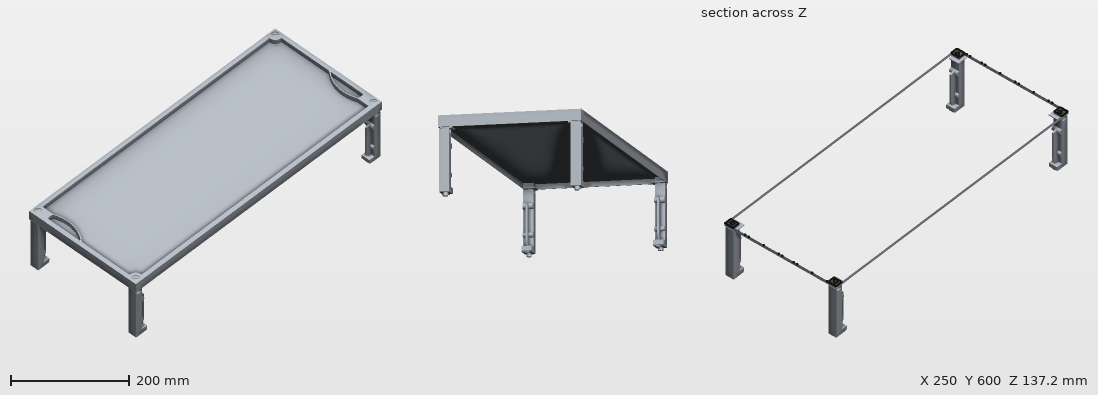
import cadquery as cq
import math

tray_x = 250.0
tray_y = 600.0
tray_height = 20.0
rim_width = 9.0
recess_depth = 9.5
side_skirt_wall = 1.2
end_skirt_wall = 2.0
cavity_ceiling_z = -11.0

corner_block = 23.0
corner_radius = 12.0
dowel_hole_diameter = 2.5
dowel_hole_inset_x = 23.5
dowel_hole_inset_y = 21.5
dowel_hole_depth = 1.0

handle_start = 34.0
handle_end = 110.0
handle_crest_x = 64.0
handle_crest_y = 29.0
handle_radius = 75.0
rib_thickness = 2.0
handle_corner_radius = 3.0
grip_groove_count = 10
grip_groove_pitch_angle = 4.7
grip_groove_radius = 1.5
grip_groove_depth = 0.8

total_height = 137.23
pin_height = 6.0
pin_diameter = 9.0
pin_inset_y = 11.8
leg_outer_x = side_skirt_wall
leg_outer_y = end_skirt_wall
leg_width_x = 18.0
leg_centre_x = leg_outer_x + leg_width_x / 2
leg_depth_y = 14.5
leg_inner_y = leg_outer_y + leg_depth_y
leg_bottom_z = pin_height - total_height
flange_near = 3.0
flange_far = 24.0
flange_thickness = 1.8
neck_chamfer = 1.5
window_wall = 1.8
window_bottom_z = -29.0
window_corner = 1.8
upper_bump_radius = 5.4
upper_bump_z = -50.6
lower_bump_radius = 4.5
lower_bump_z = -100.3

web_thickness = 3.4
web_end_y = 29.0
web_top_z = -50.0
web_root_z = -46.0
web_curve_z = -106.0
web_curve_mid_y = 28.0
web_tip_y = 24.5
web_bottom_z = -120.3
foot_top_z = -121.3
foot_chamfer = 2.0
heel_near_y = 21.5
heel_far_y = 27.0
heel_height = 1.5
heel_width = 8.0

head_diameter = 14.0
screw_inset_x = leg_centre_x
screw_inset_y = 10.5
head_edge_depth = 1.2
head_dome_height = 0.9
head_bottom_z = -5.0
shank_diameter = 6.0
shank_bottom_z = -20.0
slot_length = 9.8
slot_width = 1.0
slot_depth = 1.0

corner_signs = [(-1, -1), (1, -1), (-1, 1), (1, 1)]
half_turn_angles = [0, 180]


def box_between(x0, x1, y0, y1, z0, z1):
    """Axis-aligned box given by its limits."""
    return cq.Workplane("XY").box(x1 - x0, y1 - y0, z1 - z0, centered=False).translate((x0, y0, z0))


def place_at_corner(body, sign_x, sign_y):
    """Move a body built outward from a corner at the origin to one tray corner."""
    if sign_x > 0:
        body = body.mirror("YZ")
    if sign_y > 0:
        body = body.mirror("XZ")
    return body.translate((sign_x * tray_x / 2, sign_y * tray_y / 2, 0))


def upright_cylinder(diameter, x, y, z0, z1):
    return cq.Workplane("XY", origin=(x, y, z0)).circle(diameter / 2).extrude(z1 - z0)


def make_handle_segment(radius):
    """Circular segment that rises from the end rim over the handle length."""
    centre_y = handle_crest_y - handle_radius
    disc = upright_cylinder(2 * radius, handle_crest_x, centre_y, -recess_depth, 0)
    limits = box_between(
        handle_start, handle_crest_x + radius, rim_width, handle_crest_y, -recess_depth, 0
    )
    return disc.intersect(limits)


def make_grip_grooves():
    """Upright grooves in the pocket face of the rib, spread evenly about its crest."""
    centre_y = handle_crest_y - handle_radius
    path_radius = handle_radius - rib_thickness + grip_groove_depth - grip_groove_radius
    first_angle = -grip_groove_pitch_angle * (grip_groove_count - 1) / 2
    grooves = cq.Workplane("XY")
    for index in range(grip_groove_count):
        angle = math.radians(first_angle + index * grip_groove_pitch_angle)
        x = handle_crest_x + path_radius * math.sin(angle)
        y = centre_y + path_radius * math.cos(angle)
        grooves = grooves.union(upright_cylinder(2 * grip_groove_radius, x, y, -recess_depth, 0))
    return grooves


def make_handle():
    """Corner block and curved rib with grip grooves, enclosing a finger pocket."""
    block = box_between(rim_width, handle_start, rim_width, corner_block, -recess_depth, 0)
    pocket_limits = box_between(handle_start, handle_end, rim_width, handle_crest_y, -recess_depth, 0)
    pocket = make_handle_segment(handle_radius - rib_thickness).intersect(pocket_limits)
    pocket = pocket.edges(cq.NearestToPointSelector((handle_start, rim_width, -recess_depth / 2))).fillet(
        handle_corner_radius
    )
    return block.union(make_handle_segment(handle_radius)).cut(pocket).cut(make_grip_grooves())


def make_rounded_block():
    """Corner block whose free corner is rounded about the screw."""
    block = box_between(rim_width, corner_block, rim_width, corner_block, -recess_depth, 0)
    return block.edges("|Z and >X and >Y").fillet(corner_radius)


def make_screw():
    """Countersunk screw with a domed, cross-slotted head."""
    head_radius = head_diameter / 2
    shank_radius = shank_diameter / 2
    crest_z = head_dome_height - head_edge_depth
    dome_radius = (head_radius**2 + head_dome_height**2) / (2 * head_dome_height)
    half_angle = math.asin(head_radius / dome_radius) / 2
    arc_mid = (
        dome_radius * math.sin(half_angle),
        crest_z - dome_radius * (1 - math.cos(half_angle)),
    )
    screw = (
        cq.Workplane("XZ")
        .moveTo(0, shank_bottom_z)
        .lineTo(shank_radius, shank_bottom_z)
        .lineTo(shank_radius, head_bottom_z)
        .lineTo(head_radius, head_bottom_z)
        .lineTo(head_radius, -head_edge_depth)
        .threePointArc(arc_mid, (0, crest_z))
        .close()
        .revolve(360, (0, 0, 0), (0, 1, 0))
    )
    for angle in (45, 135):
        slot = (
            cq.Workplane("XY", origin=(0, 0, crest_z - slot_depth))
            .rect(slot_length, slot_width)
            .extrude(slot_depth)
            .rotate((0, 0, 0), (0, 0, 1), angle)
        )
        screw = screw.cut(slot)
    return screw.translate((screw_inset_x, screw_inset_y, 0))


def make_screw_hole():
    head = upright_cylinder(head_diameter, screw_inset_x, screw_inset_y, head_bottom_z, 0)
    shank = upright_cylinder(shank_diameter, screw_inset_x, screw_inset_y, shank_bottom_z, head_bottom_z)
    return head.union(shank)


def make_tray():
    half_x = tray_x / 2
    half_y = tray_y / 2
    tray = box_between(-half_x, half_x, -half_y, half_y, -tray_height, 0)
    inner_x = half_x - rim_width
    inner_y = half_y - rim_width
    recess = box_between(-inner_x, inner_x, -inner_y, inner_y, -recess_depth, 0)
    cavity_x = half_x - side_skirt_wall
    cavity_y = half_y - end_skirt_wall
    cavity = box_between(-cavity_x, cavity_x, -cavity_y, cavity_y, -tray_height, cavity_ceiling_z)

    handle = place_at_corner(make_handle(), -1, -1)
    rounded_block = place_at_corner(make_rounded_block(), 1, -1)
    for angle in half_turn_angles:
        for block in (handle, rounded_block):
            recess = recess.cut(block.rotate((0, 0, 0), (0, 0, 1), angle))
    tray = tray.cut(recess).cut(cavity)

    dowel_hole = upright_cylinder(
        dowel_hole_diameter,
        dowel_hole_inset_x,
        dowel_hole_inset_y,
        -recess_depth - dowel_hole_depth,
        -recess_depth,
    )
    dowel_hole = place_at_corner(dowel_hole, 1, -1)
    for angle in half_turn_angles:
        tray = tray.cut(dowel_hole.rotate((0, 0, 0), (0, 0, 1), angle))

    for sign_x, sign_y in corner_signs:
        tray = tray.cut(place_at_corner(make_screw_hole(), sign_x, sign_y))
    return tray


def make_web():
    """Thin web along the inner face, ending in a curved tip above the foot."""
    curve_mid = (web_curve_mid_y, (web_curve_z + web_bottom_z) / 2)
    return (
        cq.Workplane("YZ", origin=(leg_centre_x - web_thickness / 2, 0, 0))
        .moveTo(leg_inner_y, web_root_z)
        .lineTo(web_end_y, web_top_z)
        .lineTo(web_end_y, web_curve_z)
        .threePointArc(curve_mid, (web_tip_y, web_bottom_z))
        .lineTo(leg_inner_y, web_bottom_z)
        .close()
        .extrude(web_thickness)
    )


def make_leg():
    x0 = leg_outer_x
    x1 = leg_outer_x + leg_width_x
    neck_top_z = -tray_height - flange_thickness

    leg = box_between(x0, x1, leg_outer_y, leg_inner_y, leg_bottom_z, neck_top_z)
    leg = leg.edges("|X and >Z and <Y").chamfer(neck_chamfer)
    window = box_between(
        x0, x1, leg_outer_y + window_wall, leg_inner_y - window_wall, window_bottom_z, neck_top_z
    )
    leg = leg.cut(window.edges("|X").chamfer(window_corner))

    head = box_between(x0, x1, leg_outer_y, leg_inner_y, -tray_height, cavity_ceiling_z)
    flange = box_between(flange_near, flange_far, flange_near, flange_far, neck_top_z, -tray_height)
    foot = box_between(x0, x1, leg_inner_y, web_end_y, leg_bottom_z, foot_top_z)
    foot = foot.edges("|X and <Z and >Y").chamfer(foot_chamfer)
    heel = box_between(
        leg_centre_x - heel_width / 2,
        leg_centre_x + heel_width / 2,
        heel_near_y,
        heel_far_y,
        leg_bottom_z - heel_height,
        leg_bottom_z,
    )
    pin = upright_cylinder(pin_diameter, leg_centre_x, pin_inset_y, -total_height, leg_bottom_z)
    for part in (head, flange, foot, heel, pin, make_web()):
        leg = leg.union(part)

    for radius, z in ((upper_bump_radius, upper_bump_z), (lower_bump_radius, lower_bump_z)):
        bump = cq.Workplane("YZ", origin=(x0, leg_inner_y, z)).circle(radius).extrude(leg_width_x)
        leg = leg.union(bump)
    return leg.cut(make_screw_hole())


tray = make_tray()
legs = [place_at_corner(make_leg(), sign_x, sign_y) for sign_x, sign_y in corner_signs]
screws = [place_at_corner(make_screw(), sign_x, sign_y) for sign_x, sign_y in corner_signs]

result = cq.Compound.makeCompound(
    [tray.val()] + [leg.val() for leg in legs] + [screw.val() for screw in screws]
)